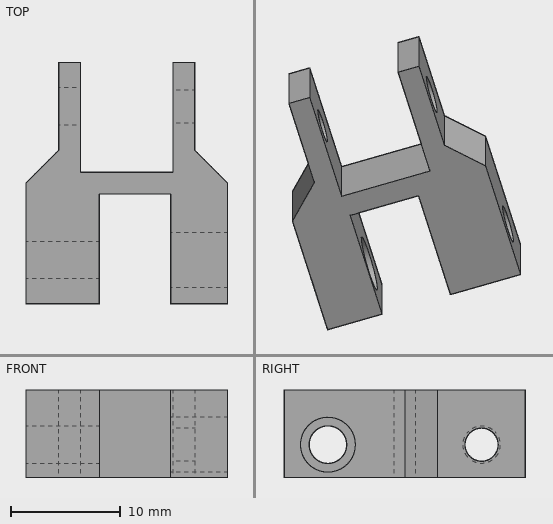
import cadquery as cq

width = 18.4
length = 22.0
height = 8.0

left_block_width = 6.7
front_slot_width = 6.5
front_slot_depth = 10.0

arm_thickness = 2.0
rear_fork_width = 12.4
rear_slot_depth = 10.0
arm_length = 8.0
shoulder_length = 3.0

hole_z = 3.0
hole_end_distance = 4.0
left_arm_hole_diameter = 3.4
right_arm_hole_diameter = 3.0
left_block_hole_diameter = 3.4
right_block_hole_diameter = 5.0

arm_left = (width - rear_fork_width) / 2
arm_right = arm_left + rear_fork_width
shoulder_rear_y = length - arm_length
shoulder_front_y = shoulder_rear_y - shoulder_length
rear_slot_floor_y = length - rear_slot_depth
front_slot_right = left_block_width + front_slot_width
middle_x = width / 2
front_hole_y = hole_end_distance
rear_hole_y = length - hole_end_distance


def make_body():
    """H-shaped outline extruded to the full height."""
    outline = [
        (0, 0),
        (left_block_width, 0),
        (left_block_width, front_slot_depth),
        (front_slot_right, front_slot_depth),
        (front_slot_right, 0),
        (width, 0),
        (width, shoulder_front_y),
        (arm_right, shoulder_rear_y),
        (arm_right, length),
        (arm_right - arm_thickness, length),
        (arm_right - arm_thickness, rear_slot_floor_y),
        (arm_left + arm_thickness, rear_slot_floor_y),
        (arm_left + arm_thickness, length),
        (arm_left, length),
        (arm_left, shoulder_rear_y),
        (0, shoulder_front_y),
    ]
    return cq.Workplane("XY").polyline(outline).close().extrude(height)


def make_cross_hole(start_x, end_x, y, diameter):
    """Cylinder along X that cuts the hole through one leg of a fork."""
    return (
        cq.Workplane("YZ", origin=(start_x, y, hole_z))
        .circle(diameter / 2)
        .extrude(end_x - start_x)
    )


cross_holes = [
    (0, middle_x, rear_hole_y, left_arm_hole_diameter),
    (middle_x, width, rear_hole_y, right_arm_hole_diameter),
    (0, left_block_width, front_hole_y, left_block_hole_diameter),
    (front_slot_right, width, front_hole_y, right_block_hole_diameter),
]

result = make_body()
for start_x, end_x, y, diameter in cross_holes:
    result = result.cut(make_cross_hole(start_x, end_x, y, diameter))